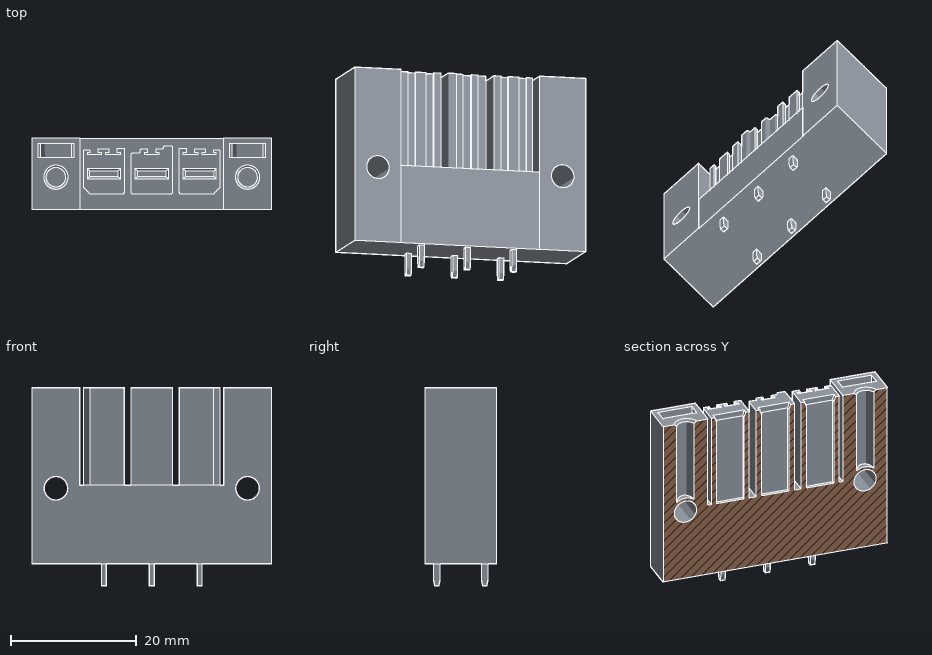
import cadquery as cq


pitch = 7.62
pole_count = 3
pole_xs = [(i - (pole_count - 1) / 2) * pitch for i in range(pole_count)]

housing_length = (pole_count + 2) * pitch
housing_depth = 11.4
housing_height = 28.0
contact_y = housing_depth / 2
floor_height = 12.5
bay_length = pole_count * pitch
bay_back_relief = 0.08
flange_xs = [-2 * pitch, 2 * pitch]

mount_bore = 3.7
mount_sleeve = 4.9
mount_height = 12.0
screw_mouth = 3.85
screw_bore = 3.1
screw_y = 5.15
nut_width = 5.75
nut_thickness = 2.2
nut_y = 9.4

outer_column_width = 6.5
middle_column_width = 6.61
front_y = 2.5
column_height = housing_height - floor_height
corner_radius = 0.25
key_chamfer = 1.05
groove_floor_y = 8.75
hook_y = 9.1
rail_y = 9.62
outer_ear_y = 9.5
inner_ear_y = 9.75
shoulder_x = 1.85
low_shoulder_y = 8.97
high_shoulder_y = 10.14

left_neck = (-2.17, -0.9)
left_undercut = (-2.6, -0.38)
right_neck = (0.82, 2.1)
right_undercut = (0.27, 2.62)
middle_neck = (-0.7, 0.7)
middle_undercut = (-1.13, 1.13)

slot_mouth_width = 5.25
slot_mouth_thickness = 1.6
slot_inset = 0.35
slot_mouth_depth = 0.8

pin_row_spacing = pitch
pin_ys = [contact_y - pin_row_spacing / 2, contact_y + pin_row_spacing / 2]
pin_thickness = 0.8
pin_width = 1.1
pin_tip_width = 0.7
pin_length = 3.5
pin_tip_length = 1.0


def flange_opening(x):
    """Screw hole and nut pocket that end on the sleeve around the cross hole, plus that hole."""
    depth = housing_height - mount_height
    screw_top = cq.Workplane("XY", origin=(x, screw_y, housing_height))
    screw_hole = screw_top.circle(screw_bore / 2).extrude(-depth)
    countersink = (
        screw_top.circle(screw_mouth / 2)
        .workplane(offset=-(screw_mouth - screw_bore) / 2)
        .circle(screw_bore / 2)
        .loft()
    )
    nut_pocket = (
        cq.Workplane("XY", origin=(x, nut_y, housing_height))
        .rect(nut_width, nut_thickness)
        .extrude(-depth)
    )
    cross_axis = cq.Workplane("XZ", origin=(x, 0, mount_height))
    sleeve = cross_axis.circle(mount_sleeve / 2).extrude(-housing_depth)
    cross_hole = cross_axis.circle(mount_bore / 2).extrude(-housing_depth)
    return countersink.union(screw_hole).union(nut_pocket).cut(sleeve).union(cross_hole)


def extrude_column(outline):
    return outline.close().extrude(column_height)


def round_corners(column, corners):
    """Fillet the upright edges of a column that stand at the given (x, y) corners."""
    for x, y in corners:
        corner_edge = cq.selectors.NearestToPointSelector((x, y, floor_height + column_height / 2))
        column = column.edges(corner_edge).fillet(corner_radius)
    return column


def t_groove(x, neck, undercut):
    """T-shaped groove in the back of the column at x; both spans are measured from x."""
    parts = [
        (neck, groove_floor_y, housing_depth),
        (undercut, groove_floor_y, hook_y),
    ]
    boxes = [
        cq.Workplane("XY", origin=(x + start, low_y, floor_height)).box(
            end - start, high_y - low_y, column_height, centered=False
        )
        for (start, end), low_y, high_y in parts
    ]
    return boxes[0].union(boxes[1])


def outer_column(x):
    """Left-hand column with a keyed front corner, three rails and two T-grooves."""
    half = outer_column_width / 2
    left_step = sum(left_neck) / 2
    right_step = sum(right_neck) / 2
    column = extrude_column(
        cq.Workplane("XY", origin=(x, 0, floor_height))
        .moveTo(-half, front_y + key_chamfer)
        .lineTo(-half + key_chamfer, front_y)
        .lineTo(half, front_y)
        .lineTo(half, inner_ear_y)
        .lineTo(right_step, inner_ear_y)
        .lineTo(right_step, rail_y)
        .lineTo(left_step, rail_y)
        .lineTo(left_step, outer_ear_y)
        .lineTo(-half, outer_ear_y)
    )
    column = round_corners(column, [(x + half, front_y), (x - half, outer_ear_y)])
    column = column.cut(t_groove(x, left_neck, left_undercut))
    return column.cut(t_groove(x, right_neck, right_undercut))


def middle_column():
    """Middle column with a low left shoulder, a high right shoulder and one T-groove."""
    half = middle_column_width / 2
    corners = [
        (-half, front_y),
        (half, front_y),
        (half, high_shoulder_y),
        (shoulder_x, high_shoulder_y),
        (shoulder_x, rail_y),
        (-shoulder_x, rail_y),
        (-shoulder_x, low_shoulder_y),
        (-half, low_shoulder_y),
    ]
    column = extrude_column(cq.Workplane("XY", origin=(0, 0, floor_height)).polyline(corners))
    return round_corners(column, corners).cut(t_groove(0, middle_neck, middle_undercut))


def contact_slot(x):
    """Blind slot down to the column base with a chamfered mouth."""
    mouth = (
        cq.Workplane("XY", origin=(x, contact_y, housing_height))
        .rect(slot_mouth_width, slot_mouth_thickness)
        .workplane(offset=-slot_mouth_depth)
        .rect(slot_mouth_width - 2 * slot_inset, slot_mouth_thickness - 2 * slot_inset)
        .loft(ruled=True)
    )
    return mouth.faces("<Z").wires().toPending().workplane().extrude(column_height - slot_mouth_depth)


def make_housing():
    """Block with an open bay between two flanges and one column per pole standing in the bay."""
    body = cq.Workplane("XY").box(
        housing_length, housing_depth, housing_height, centered=(True, False, False)
    )
    bay = cq.Workplane("XY", origin=(0, 0, floor_height)).box(
        bay_length, housing_depth, column_height, centered=(True, False, False)
    )
    relief = cq.Workplane("XY", origin=(0, housing_depth - bay_back_relief, 0)).box(
        bay_length, bay_back_relief, housing_height, centered=(True, False, False)
    )
    body = body.cut(bay).cut(relief)
    left_column = outer_column(pole_xs[0])
    body = body.union(left_column).union(left_column.mirror("YZ")).union(middle_column())
    for x in pole_xs:
        body = body.cut(contact_slot(x))
    for x in flange_xs:
        body = body.cut(flange_opening(x))
    return body


def make_pin(x, y):
    """Flat pin standing against the underside, tapering across its width at the tip."""
    return (
        cq.Workplane("YZ", origin=(x - pin_thickness / 2, y, 0))
        .moveTo(-pin_width / 2, 0)
        .lineTo(-pin_width / 2, -(pin_length - pin_tip_length))
        .lineTo(-pin_tip_width / 2, -pin_length)
        .lineTo(pin_tip_width / 2, -pin_length)
        .lineTo(pin_width / 2, -(pin_length - pin_tip_length))
        .lineTo(pin_width / 2, 0)
        .close()
        .extrude(pin_thickness)
    )


housing = make_housing()
pins = [make_pin(x, y) for x in pole_xs for y in pin_ys]
result = cq.Compound.makeCompound([housing.val(), *[pin.val() for pin in pins]])